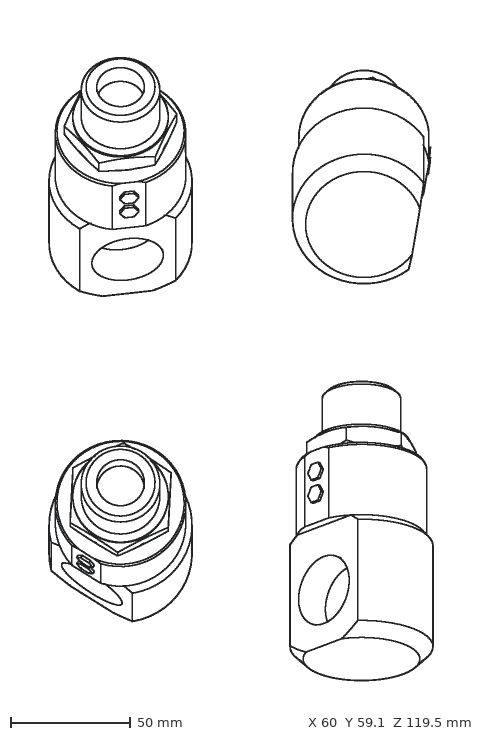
import cadquery as cq
import math

total_height = 119.5
shoulder_z = 54.3
body_top_z = 87.1
nut_bottom_z = 88.0
nut_top_z = 97.0
collar_top_z = 98.0

base_radius = 30.0
base_bottom_chamfer = 5.5
shoulder_chamfer_height = 3.1
body_radius = 27.4
body_chamfer_width = 0.7
body_chamfer_height = 1.2
collar_radius = 40.0 / 2
spigot_radius = 33.0 / 2
spigot_chamfer = 2.0
bore_diameter = 20.0
bore_depth = 10.0

nut_corner_diameter = 47.6
nut_chamfer_height = 1.7

facing_angle = 28.5
base_flat_distance = 22.1
body_flat_distance = 26.4
port_diameter = 30.2
port_depth = 15.8
port_z = 25.0
screw_across_flats = 6.9
screw_protrusion = 1.2
screw_heights = (66.9, 77.1)


def turned_body():
    """Base, upper body, collar and spigot as one revolved profile."""
    profile = [
        (0, 0),
        (base_radius - base_bottom_chamfer, 0),
        (base_radius, base_bottom_chamfer),
        (base_radius, shoulder_z - shoulder_chamfer_height),
        (body_radius, shoulder_z),
        (body_radius, body_top_z - body_chamfer_height),
        (body_radius - body_chamfer_width, body_top_z),
        (collar_radius, body_top_z),
        (collar_radius, collar_top_z),
        (spigot_radius, collar_top_z),
        (spigot_radius, total_height - spigot_chamfer),
        (spigot_radius - spigot_chamfer, total_height),
        (0, total_height),
    ]
    return cq.Workplane("XZ").polyline(profile).close().revolve(360, (0, 0), (0, 1))


def chamfered_nut():
    """Hexagon with flats square to -Y, its corners cut by cones at both ends."""
    hexagon = (
        cq.Workplane("XY", origin=(0, 0, nut_bottom_z))
        .polygon(6, nut_corner_diameter)
        .extrude(nut_top_z - nut_bottom_z)
    )
    corner_radius = nut_corner_diameter / 2
    envelope = (
        cq.Workplane("XZ")
        .polyline([
            (0, nut_bottom_z),
            (collar_radius, nut_bottom_z),
            (corner_radius, nut_bottom_z + nut_chamfer_height),
            (corner_radius, nut_top_z - nut_chamfer_height),
            (collar_radius, nut_top_z),
            (0, nut_top_z),
        ])
        .close()
        .revolve(360, (0, 0), (0, 1))
    )
    return hexagon.intersect(envelope)


def flat_cutter(distance, bottom_z, top_z):
    """Block that removes everything farther than distance toward -Y."""
    return cq.Workplane("XY").box(
        2 * base_radius, base_radius, top_z - bottom_z, centered=(True, False, False)
    ).translate((0, -distance - base_radius, bottom_z))


def side_port():
    """Blind round port sunk into the base flat."""
    return (
        cq.Workplane("XZ", origin=(0, -base_flat_distance, port_z))
        .circle(port_diameter / 2)
        .extrude(-port_depth)
    )


def screw_head(height):
    """Hexagonal head standing on the upper flat, corners pointing sideways."""
    corner_diameter = screw_across_flats / math.cos(math.pi / 6)
    return (
        cq.Workplane("XZ", origin=(0, -body_flat_distance, height))
        .polygon(6, corner_diameter)
        .extrude(screw_protrusion)
    )


bore = cq.Workplane("XY", origin=(0, 0, total_height)).circle(bore_diameter / 2).extrude(-bore_depth)

part = turned_body().union(chamfered_nut()).cut(bore)
part = part.cut(flat_cutter(base_flat_distance, 0, shoulder_z))
part = part.cut(flat_cutter(body_flat_distance, shoulder_z, body_top_z))
part = part.cut(side_port())
for screw_z in screw_heights:
    part = part.union(screw_head(screw_z))

result = part.rotate((0, 0, 0), (0, 0, 1), facing_angle)